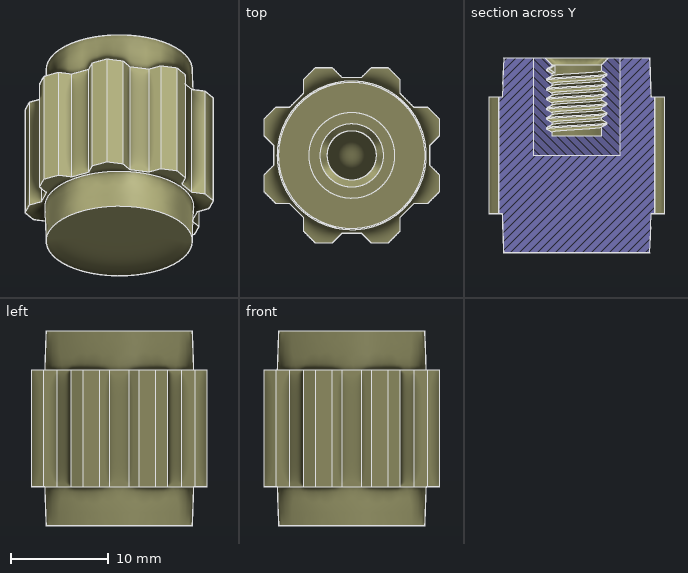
import cadquery as cq
import math

HOUSING_HEIGHT = 20.0
COLLAR_HEIGHT = 4.0
COLLAR_END_RADIUS = 7.5
COLLAR_DRAFT_DEG = 2.0
COLLAR_GRIP_RADIUS = COLLAR_END_RADIUS + COLLAR_HEIGHT * math.tan(math.radians(COLLAR_DRAFT_DEG))
GRIP_ACROSS_FLATS = 18.0
GRIP_HEIGHT = HOUSING_HEIGHT - 2 * COLLAR_HEIGHT
GRIP_SIDES = 8

GROOVE_DEPTH = 1.0
GROOVE_FLOOR_WIDTH = 2.0
GROOVE_MOUTH_WIDTH = GROOVE_FLOOR_WIDTH + 2 * GROOVE_DEPTH

INSERT_DIAMETER = 8.8
INSERT_LENGTH = 10.0
INSERT_BASE_Z = HOUSING_HEIGHT - INSERT_LENGTH
BORE_DIAMETER = 5.04
BORE_DEPTH = 8.0
COUNTERSINK_DIAMETER = 6.5

THREAD_MAJOR_DIAMETER = 6.15
THREAD_PITCH = 1.0
THREAD_ROOT_WIDTH = THREAD_PITCH / 8
THREAD_FLANK_DEG = 30.0
THREAD_BASE_Z = 12.6
THREAD_LENGTH = 6.25
THREAD_START_DEG = 63.0
CUTTER_OVERLAP = 0.1


def make_collar(end_z, direction):
    """Collar widening from its free end at end_z towards the grip (direction +1 up, -1 down)."""
    collar = cq.Solid.makeCone(
        COLLAR_END_RADIUS,
        COLLAR_GRIP_RADIUS,
        COLLAR_HEIGHT,
        pnt=cq.Vector(0, 0, end_z),
        dir=cq.Vector(0, 0, direction),
    )
    return cq.Workplane("XY").add(collar)


def make_grip_groove():
    """Cutter for the groove in the +Y flat."""
    flat_y = GRIP_ACROSS_FLATS / 2
    floor_y = flat_y - GROOVE_DEPTH
    return (
        cq.Workplane("XY", origin=(0, 0, COLLAR_HEIGHT))
        .moveTo(-GROOVE_MOUTH_WIDTH / 2, flat_y)
        .lineTo(-GROOVE_FLOOR_WIDTH / 2, floor_y)
        .lineTo(GROOVE_FLOOR_WIDTH / 2, floor_y)
        .lineTo(GROOVE_MOUTH_WIDTH / 2, flat_y)
        .close()
        .extrude(GRIP_HEIGHT)
    )


def make_grip():
    side_angle = 360 / GRIP_SIDES
    square = (
        cq.Workplane("XY", origin=(0, 0, COLLAR_HEIGHT))
        .rect(GRIP_ACROSS_FLATS, GRIP_ACROSS_FLATS)
        .extrude(GRIP_HEIGHT)
    )
    grip = square.intersect(square.rotate((0, 0, 0), (0, 0, 1), side_angle))
    groove = make_grip_groove()
    for side in range(GRIP_SIDES):
        grip = grip.cut(groove.rotate((0, 0, 0), (0, 0, 1), side * side_angle))
    return grip


def make_insert_blank():
    """Plain cylinder that shapes both the insert and its pocket in the housing."""
    return (
        cq.Workplane("XY", origin=(0, 0, INSERT_BASE_Z))
        .circle(INSERT_DIAMETER / 2)
        .extrude(INSERT_LENGTH)
    )


def make_housing():
    return (
        make_grip()
        .union(make_collar(0, 1))
        .union(make_collar(HOUSING_HEIGHT, -1))
        .cut(make_insert_blank())
    )


def make_thread_cutter():
    """Trapezoid swept along a left-hand helix, all of it below the countersink."""
    inner_radius = BORE_DIAMETER / 2 - CUTTER_OVERLAP
    outer_radius = THREAD_MAJOR_DIAMETER / 2
    root_half = THREAD_ROOT_WIDTH / 2
    mouth_half = root_half + (outer_radius - inner_radius) * math.tan(math.radians(THREAD_FLANK_DEG))
    helix = cq.Wire.makeHelix(THREAD_PITCH, THREAD_LENGTH, outer_radius, lefthand=True)
    return (
        cq.Workplane("XZ")
        .moveTo(inner_radius, -mouth_half)
        .lineTo(outer_radius, -root_half)
        .lineTo(outer_radius, root_half)
        .lineTo(inner_radius, mouth_half)
        .close()
        .sweep(cq.Workplane(helix), isFrenet=True)
        .rotate((0, 0, 0), (0, 0, 1), THREAD_START_DEG)
        .translate((0, 0, THREAD_BASE_Z))
    )


def make_bore():
    """Cutter for the blind bore and its 45-degree countersink."""
    bore_radius = BORE_DIAMETER / 2
    countersink_radius = COUNTERSINK_DIAMETER / 2
    countersink_depth = countersink_radius - bore_radius
    return (
        cq.Workplane("XZ")
        .moveTo(0, HOUSING_HEIGHT - BORE_DEPTH)
        .lineTo(bore_radius, HOUSING_HEIGHT - BORE_DEPTH)
        .lineTo(bore_radius, HOUSING_HEIGHT - countersink_depth)
        .lineTo(countersink_radius, HOUSING_HEIGHT)
        .lineTo(0, HOUSING_HEIGHT)
        .close()
        .revolve(360, (0, 0, 0), (0, 1, 0))
    )


def make_insert():
    return make_insert_blank().cut(make_bore()).cut(make_thread_cutter())


housing = make_housing()
insert = make_insert()

result = cq.Compound.makeCompound([housing.val(), insert.val()])